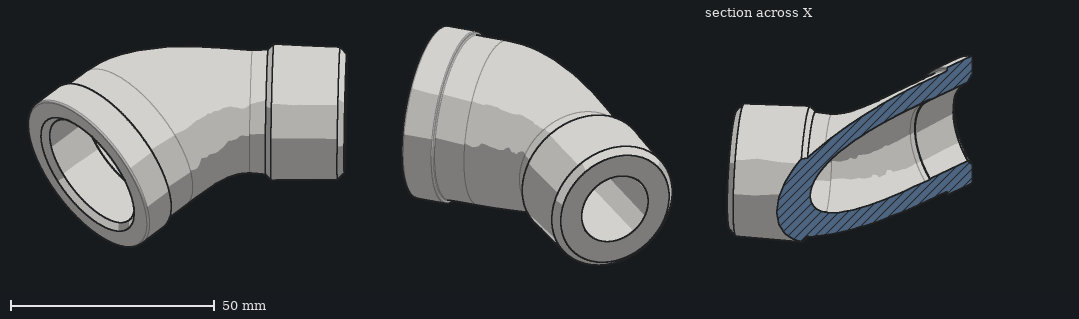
import cadquery as cq
import math

collar_radius = 21.5
collar_length = 8.0
collar_front_fillet = 0.5
collar_back_fillet = 0.3
body_radius = 20.55
body_length = 16.0
socket_radius = 15.1
socket_mouth_radius = 16.6
socket_depth = 13.4
relief_radius = 15.3
relief_end = 14.95

bend_angle = 45.0
apex_distance = 29.0
neck_start = 18.95
neck_start_radius = 15.1
neck_end = 22.9
neck_end_radius = 15.35
shoulder_size = 1.4
spigot_end = 42.2
spigot_tip_radius = 16.3
spigot_chamfer = 1.65
spigot_bore_radius = 9.0

heel_start_pull = 16.6
heel_end_pull = 5.5
throat_start_pull = 10.4
throat_end_pull = 4.15
bend_sections = 9
section_points = 24
joint_tolerance = 0.002

socket_mouth_depth = socket_mouth_radius - socket_radius
spigot_start = neck_end + shoulder_size
spigot_root_radius = neck_end_radius + shoulder_size
spigot_chamfer_start = spigot_end - spigot_chamfer
spigot_face_radius = spigot_tip_radius - spigot_chamfer

tilt = math.radians(bend_angle)
socket_axis = cq.Vector(0, 1, 0)
socket_across = cq.Vector(1, 0, 0)
spigot_axis = cq.Vector(math.sin(tilt), math.cos(tilt), 0)
spigot_across = cq.Vector(math.cos(tilt), -math.sin(tilt), 0)
apex = cq.Vector(0, apex_distance, 0)


def on_socket(distance):
    return socket_axis * distance


def on_spigot(distance):
    return apex + spigot_axis * distance


def socket_cylinder(radius, start, end):
    return cq.Workplane(cq.Solid.makeCylinder(radius, end - start, on_socket(start), socket_axis))


def spigot_cylinder(radius, start, end):
    return cq.Workplane(cq.Solid.makeCylinder(radius, end - start, on_spigot(start), spigot_axis))


def spigot_cone(start_radius, end_radius, start, end):
    cone = cq.Solid.makeCone(start_radius, end_radius, end - start, on_spigot(start), spigot_axis)
    return cq.Workplane(cone)


def cubic(start, start_handle, end_handle, end, t):
    """Point at t, from 0 to 1, on a cubic Bezier curve."""
    u = 1 - t
    return start * u**3 + start_handle * (3 * u**2 * t) + end_handle * (3 * u * t**2) + end * t**3


def tapered_bend(start_distance, start_radius, end_radius):
    """Bend of oval sections, each spanning the heel and throat curves in the XY plane."""

    def side_point(side, start_pull, end_pull, t):
        start = on_socket(start_distance) + socket_across * (side * start_radius)
        end = on_spigot(neck_start) + spigot_across * (side * end_radius)
        start_handle = start + socket_axis * start_pull
        end_handle = end - spigot_axis * end_pull
        return cubic(start, start_handle, end_handle, end, t)

    def section(t):
        heel = side_point(-1, heel_start_pull, heel_end_pull, t)
        throat = side_point(1, throat_start_pull, throat_end_pull, t)
        centre = (heel + throat) * 0.5
        half_span = (throat - heel) * 0.5
        half_height = cq.Vector(0, 0, cubic(start_radius, start_radius, end_radius, end_radius, t))
        points = []
        for i in range(section_points):
            angle = 2 * math.pi * i / section_points
            points.append(centre + half_span * math.cos(angle) + half_height * math.sin(angle))
        return cq.Wire.assembleEdges([cq.Edge.makeSpline(points, periodic=True)])

    wires = [section(i / (bend_sections - 1)) for i in range(bend_sections)]
    return cq.Workplane(cq.Solid.makeLoft(wires))


def join(socket_part, bend, spigot_part):
    return socket_part.union(bend, tol=joint_tolerance).union(spigot_part, tol=joint_tolerance)


def make_socket_end():
    collar = socket_cylinder(collar_radius, 0, collar_length)
    body = socket_cylinder(body_radius, 0, body_length)
    collar_back = cq.selectors.NearestToPointSelector((0, collar_length, 0))
    socket_end = collar.union(body)
    socket_end = socket_end.faces(collar_back).edges().fillet(collar_back_fillet)
    return socket_end.faces("<Y").edges().fillet(collar_front_fillet)


def make_spigot_end():
    neck = spigot_cone(neck_start_radius, neck_end_radius, neck_start, neck_end)
    shoulder = spigot_cone(neck_end_radius, spigot_root_radius, neck_end, spigot_start)
    spigot = spigot_cone(spigot_root_radius, spigot_tip_radius, spigot_start, spigot_chamfer_start)
    tip = spigot_cone(spigot_tip_radius, spigot_face_radius, spigot_chamfer_start, spigot_end)
    return neck.union(shoulder).union(spigot).union(tip)


def make_passage():
    mouth_cone = cq.Solid.makeCone(
        socket_mouth_radius, socket_radius, socket_mouth_depth, on_socket(0), socket_axis
    )
    socket = socket_cylinder(socket_radius, 0, socket_depth)
    relief = socket_cylinder(relief_radius, socket_depth, relief_end)
    bend = tapered_bend(relief_end, relief_radius, spigot_bore_radius)
    spigot_bore = spigot_cylinder(spigot_bore_radius, neck_start, spigot_end)
    socket = socket.union(cq.Workplane(mouth_cone)).union(relief)
    return join(socket, bend, spigot_bore)


outer_bend = tapered_bend(body_length, body_radius, neck_start_radius)
outside = join(make_socket_end(), outer_bend, make_spigot_end())
result = outside.cut(make_passage())